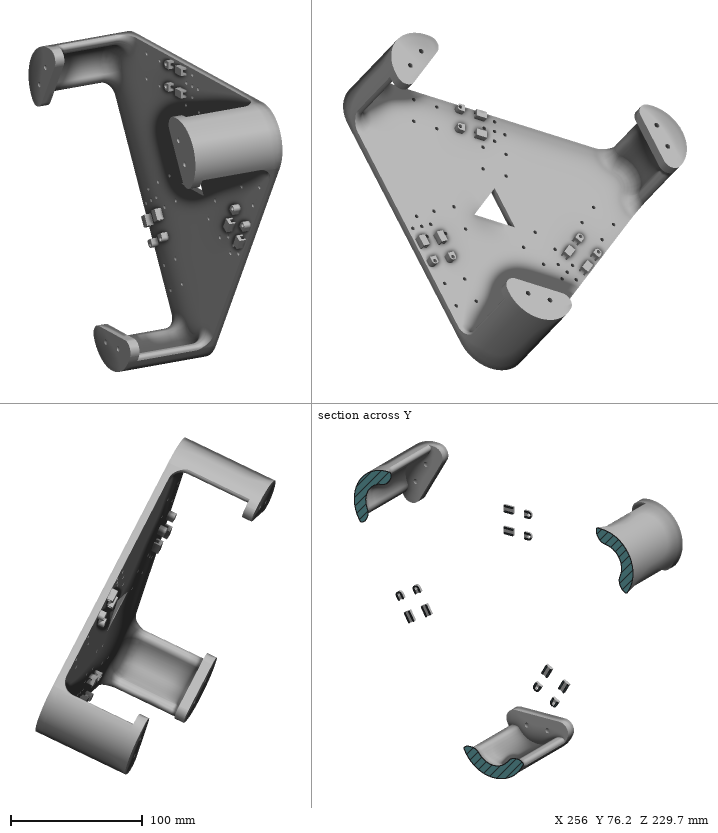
import cadquery as cq
import math

CORNER_RADIUS = 30.0
CORNER_SPACING = 256 - 2 * CORNER_RADIUS
CORNER_DISTANCE = CORNER_SPACING / math.sqrt(3)
PLATE_THICKNESS = 6.0
WINDOW_SIDE = 35.0

FRONT_REACH = 70.2
FOOT_THICKNESS = 8.0
FOOT_CORNER_RADIUS = 8.2
FOOT_HOLE_DIAMETER = 4.0
FOOT_HOLE_SPACING = 19.0
FOOT_HOLE_DEPTH_BELOW_CENTER = 10.0
LEG_WIDTH = 50.2
LEG_TOP_BELOW_CENTER = 12.5
LEG_OUTER_FILLET = 2.8
LEG_INNER_FILLET = 5.0
GROOVE_RADIUS = 20.0
GROOVE_CENTER_BELOW_CENTER = 3.0
ROOT_FILLET = 11.0

HOLE_DIAMETER = 3.0
SQUARE_PITCH = 20.0
INNER_SQUARE_CENTER = (0, 44.8)
OUTER_SQUARE_CENTER = (-60.0, 68.6)
CROSS_CENTER_Z = 72.7
CROSS_ARM = 9.0

FITTING_WIDTH = 6.0
FITTING_HEIGHTS = (4.9, 5.6, 5.6)
BRIDGE_LENGTH = 9.0
BRIDGE_CENTER_X = -13.5
HOLDER_FLAT_X = -28.2
HOLDER_LENGTH = 6.5
HOLDER_CORNER_RADIUS = 2.5
HOLDER_HOLE_X = -32.3
HOLDER_HOLE_DIAMETER = 3.0
CABLE_WIDTH = 3.0
CABLE_HEIGHT = 3.0

CORNER_Z = -CORNER_DISTANCE
BOTTOM_Z = CORNER_Z - 2 * CORNER_RADIUS
LEG_TOP_Z = CORNER_Z - LEG_TOP_BELOW_CENTER
GROOVE_CENTER_Z = CORNER_Z - GROOVE_CENTER_BELOW_CENTER
FOOT_BACK_Y = FOOT_THICKNESS - FRONT_REACH
TOLERANCE = 0.03

SIDE_ANGLES = (0, 120, 240)


def front_plane(y=0):
    """Sketch plane parallel to XZ, extruding toward -Y."""
    return cq.Workplane("XZ", origin=(0, y, 0))


def turned(shape, angle):
    return shape.rotate((0, 0, 0), (0, -1, 0), angle)


def rounded_triangle(back, front):
    corners = [
        (CORNER_DISTANCE * math.sin(math.radians(a)), -CORNER_DISTANCE * math.cos(math.radians(a)))
        for a in SIDE_ANGLES
    ]
    triangle = front_plane(back).polyline(corners).close().offset2D(CORNER_RADIUS)
    return triangle.extrude(back - front)


def rail():
    """Grooved bar for the lowest corner, running from the plate's back to the foot."""
    length = PLATE_THICKNESS - FOOT_BACK_Y
    blank = (
        front_plane(PLATE_THICKNESS)
        .center(0, (LEG_TOP_Z + BOTTOM_Z) / 2)
        .rect(LEG_WIDTH, LEG_TOP_Z - BOTTOM_Z)
        .extrude(length)
        .edges("|Y and >Z")
        .fillet(LEG_OUTER_FILLET)
    )
    groove = front_plane(PLATE_THICKNESS).center(0, GROOVE_CENTER_Z).circle(GROOVE_RADIUS).extrude(length)
    lips = cq.selectors.BoxSelector(
        (-GROOVE_RADIUS, FOOT_BACK_Y, LEG_TOP_Z - TOLERANCE),
        (GROOVE_RADIUS, PLATE_THICKNESS, LEG_TOP_Z + TOLERANCE),
    )
    return blank.cut(groove).edges("|Y").edges(lips).fillet(LEG_INNER_FILLET)


def leg():
    """Leg blended into an oversized piece of plate, then trimmed to the plate's outline."""
    slab = (
        front_plane(PLATE_THICKNESS)
        .center(0, CORNER_Z)
        .rect(6 * CORNER_RADIUS, 4 * CORNER_RADIUS)
        .extrude(PLATE_THICKNESS)
    )
    seam = cq.selectors.BoxSelector(
        (-LEG_WIDTH, -TOLERANCE, BOTTOM_Z + TOLERANCE),
        (LEG_WIDTH, TOLERANCE, LEG_TOP_Z + TOLERANCE),
    )
    rooted = rail().union(slab).edges(seam).fillet(ROOT_FILLET)
    return rooted.intersect(rounded_triangle(PLATE_THICKNESS, FOOT_BACK_Y))


def foot():
    """Half-round foot with rounded inner corners and two screw holes."""
    pad = (
        front_plane(FOOT_BACK_Y)
        .moveTo(-CORNER_RADIUS, CORNER_Z)
        .threePointArc((0, CORNER_Z - CORNER_RADIUS), (CORNER_RADIUS, CORNER_Z))
        .close()
        .extrude(FOOT_THICKNESS)
        .edges("|Y")
        .fillet(FOOT_CORNER_RADIUS)
    )
    holes = (
        front_plane(FOOT_BACK_Y)
        .center(0, CORNER_Z - FOOT_HOLE_DEPTH_BELOW_CENTER)
        .rarray(FOOT_HOLE_SPACING, 2.5, 2, 1)
        .circle(FOOT_HOLE_DIAMETER / 2)
        .extrude(FOOT_THICKNESS)
    )
    return pad.cut(holes)


def side_holes():
    """Two squares of four holes and a cross of five, drilled through the plate."""
    points = [
        (x + sx * SQUARE_PITCH / 2, z + sz * SQUARE_PITCH / 2)
        for x, z in (INNER_SQUARE_CENTER, OUTER_SQUARE_CENTER)
        for sx in (-1, 1)
        for sz in (-1, 1)
    ]
    points += [(0, CROSS_CENTER_Z)]
    points += [(s * CROSS_ARM, CROSS_CENTER_Z) for s in (-1, 1)]
    points += [(0, CROSS_CENTER_Z + s * CROSS_ARM) for s in (-1, 1)]
    return front_plane(PLATE_THICKNESS).pushPoints(points).circle(HOLE_DIAMETER / 2).extrude(PLATE_THICKNESS)


def fittings(z, height):
    """Cable bridge and round-ended light holder, with one cable tunnel through both."""
    bridge = front_plane().center(BRIDGE_CENTER_X, z).rect(BRIDGE_LENGTH, FITTING_WIDTH).extrude(height)
    holder = (
        front_plane()
        .center(HOLDER_FLAT_X - HOLDER_LENGTH / 2, z)
        .rect(HOLDER_LENGTH, FITTING_WIDTH)
        .extrude(height)
        .edges("|Y and <X")
        .fillet(HOLDER_CORNER_RADIUS)
    )
    hole = front_plane().center(HOLDER_HOLE_X, z).circle(HOLDER_HOLE_DIAMETER / 2).extrude(height)
    tunnel = (
        front_plane()
        .center(HOLDER_HOLE_X / 2, z)
        .rect(-HOLDER_HOLE_X, CABLE_WIDTH)
        .extrude(CABLE_HEIGHT)
    )
    return bridge.union(holder).cut(hole).cut(tunnel)


window = front_plane(PLATE_THICKNESS).polygon(3, 2 * WINDOW_SIDE / math.sqrt(3)).extrude(PLATE_THICKNESS)
result = rounded_triangle(PLATE_THICKNESS, 0).cut(turned(window, 90))

corner_leg = leg().union(foot(), clean=False)
for angle in SIDE_ANGLES:
    result = result.union(turned(corner_leg, angle), clean=False)

for angle, height in zip(SIDE_ANGLES, FITTING_HEIGHTS):
    result = result.cut(turned(side_holes(), angle), clean=False)
    for side in (-1, 1):
        fitting_pair = fittings(CROSS_CENTER_Z + side * CROSS_ARM, height)
        result = result.union(turned(fitting_pair, angle), clean=False)